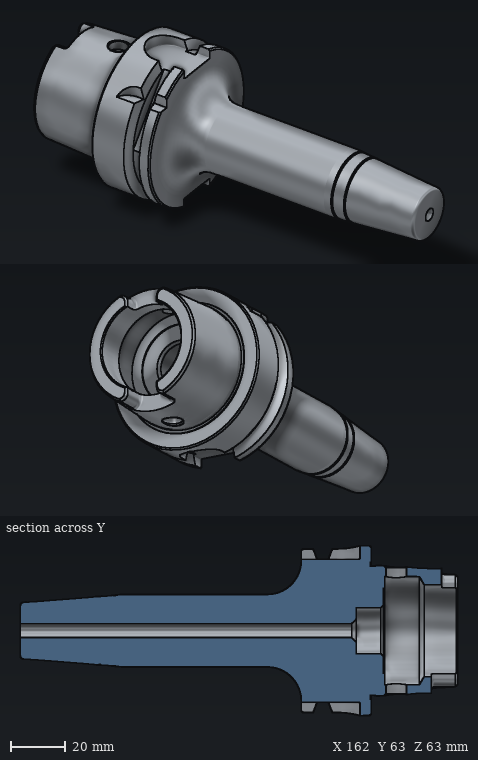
import cadquery as cq
import math

TAIL_X = -32.0
FLANGE_LENGTH = 26.0
NOSE_X = 130.0

TAPER_GAUGE_DIA = 48.04
TAPER_GAUGE_X = -6.3
TAPER_RADIUS_SLOPE = 1 / 20
TAIL_CHAMFER_LENGTH = 1.1
TAIL_CHAMFER_DEPTH = 0.6

RELIEF_START_X = -2.1
RELIEF_FLOOR_X = -1.1
RELIEF_RADIUS = 24.0
RELIEF_FACE_RADIUS = 25.3
RELIEF_FACE_DEPTH = 0.4

FLANGE_RADIUS = 31.5
FLANGE_CHAMFER = 0.6
GROOVE_CENTRE_X = 18.0
GROOVE_MOUTH_WIDTH = 7.0
GROOVE_FLOOR_WIDTH = 3.9
GROOVE_FLOOR_RADIUS = 27.5

SHANK_RADIUS = 13.5
NECK_FILLET = 12.5
NOSE_RADIUS = 10.5
NOSE_ANGLE = 4.5
NOSE_EDGE_FILLET = 1.3
NOSE_RING_XS = (95.2, 100.6)
NOSE_RING_WIDTH = 0.6
NOSE_RING_DEPTH = 0.2

BORE_RADIUS = 17.0
BORE_CHAMFER = 0.5
CLAMP_EDGE_X = -19.5
CLAMP_RADIUS = 20.0
CLAMP_ANGLE = 60.0
BORE_FLOOR_X = -5.0
FLOOR_RECESS_RADIUS = 15.7
FLOOR_RECESS_DEPTH = 0.5
POCKET_RADIUS = 16.92 / 2
POCKET_MOUTH_RADIUS = 19.02 / 2
POCKET_DEPTH = 10.0
COOLANT_RADIUS = 5.0 / 2
COOLANT_MOUTH_RADIUS = 8.68 / 2

CROSS_HOLE_X = -9.2
CROSS_HOLE_RADIUS = 7.5 / 2
CROSS_HOLE_MOUTH_RADIUS = 8.68 / 2

DRIVE_SLOT_WIDTH = 12.3
DRIVE_SLOT_LENGTHS = {1: 6.0, -1: 9.8}
DRIVE_SLOT_FLARE = 3.1
DRIVE_SLOT_SHOULDER_Z = 20.8
DRIVE_SLOT_END_FILLET = 1.3
DRIVE_SLOT_MOUTH_CHAMFER = 0.9

KEY_SLOT_RADIUS = 16.92 / 2
KEY_SLOT_START_X = 4.2
KEY_SLOT_FLOOR_Z = 26.5
KEY_SLOT_FLOOR_FILLET = 0.5

NOTCH_FLOOR_Z = 20.0
NOTCH_WALL_Y = -20.0
NOTCH_START_X = 5.8
NOTCH_END_RADIUS = 7.5

GROOVE_FLAT_TOP = (-7.1, 26.5)
GROOVE_FLAT_BOTTOM = (-27.45, 1.7)

CLEARANCE = 10.0


def taper_radius(x):
    return TAPER_GAUGE_DIA / 2 + (x - TAPER_GAUGE_X) * TAPER_RADIUS_SLOPE


def make_body():
    mouth = GROOVE_MOUTH_WIDTH / 2
    floor = GROOVE_FLOOR_WIDTH / 2
    cone_length = (SHANK_RADIUS - NOSE_RADIUS) / math.tan(math.radians(NOSE_ANGLE))
    neck_end_x = FLANGE_LENGTH + NECK_FILLET
    neck_mid_x = neck_end_x - NECK_FILLET * math.sqrt(0.5)
    neck_mid_radius = SHANK_RADIUS + NECK_FILLET * (1 - math.sqrt(0.5))
    chamfer_x = TAIL_X + TAIL_CHAMFER_LENGTH
    body = (
        cq.Workplane("XY")
        .moveTo(TAIL_X, 0)
        .lineTo(TAIL_X, taper_radius(TAIL_X) - TAIL_CHAMFER_DEPTH)
        .lineTo(chamfer_x, taper_radius(chamfer_x))
        .lineTo(RELIEF_START_X, taper_radius(RELIEF_START_X))
        .lineTo(RELIEF_FLOOR_X, RELIEF_RADIUS)
        .lineTo(RELIEF_FACE_DEPTH, RELIEF_RADIUS)
        .lineTo(RELIEF_FACE_DEPTH, RELIEF_FACE_RADIUS)
        .lineTo(0, RELIEF_FACE_RADIUS)
        .lineTo(0, FLANGE_RADIUS - FLANGE_CHAMFER)
        .lineTo(FLANGE_CHAMFER, FLANGE_RADIUS)
        .lineTo(GROOVE_CENTRE_X - mouth, FLANGE_RADIUS)
        .lineTo(GROOVE_CENTRE_X - floor, GROOVE_FLOOR_RADIUS)
        .lineTo(GROOVE_CENTRE_X + floor, GROOVE_FLOOR_RADIUS)
        .lineTo(GROOVE_CENTRE_X + mouth, FLANGE_RADIUS)
        .lineTo(FLANGE_LENGTH - FLANGE_CHAMFER, FLANGE_RADIUS)
        .lineTo(FLANGE_LENGTH, FLANGE_RADIUS - FLANGE_CHAMFER)
        .lineTo(FLANGE_LENGTH, SHANK_RADIUS + NECK_FILLET)
        .threePointArc((neck_mid_x, neck_mid_radius), (neck_end_x, SHANK_RADIUS))
        .lineTo(NOSE_X - cone_length, SHANK_RADIUS)
        .lineTo(NOSE_X, NOSE_RADIUS)
        .lineTo(NOSE_X, 0)
        .close()
        .revolve(360, (0, 0, 0), (1, 0, 0))
    )
    return body.faces(">X").edges().fillet(NOSE_EDGE_FILLET)


def make_nose_ring(x):
    """Narrow ring groove in the nose cone, centred at x."""
    cone_radius = NOSE_RADIUS + (NOSE_X - x) * math.tan(math.radians(NOSE_ANGLE))
    ring = cq.Workplane("YZ", origin=(x - NOSE_RING_WIDTH / 2, 0, 0))
    return (
        ring.circle(SHANK_RADIUS + CLEARANCE)
        .circle(cone_radius - NOSE_RING_DEPTH)
        .extrude(NOSE_RING_WIDTH)
    )


def make_bores():
    pocket_chamfer = POCKET_MOUTH_RADIUS - POCKET_RADIUS
    recess_x = BORE_FLOOR_X + FLOOR_RECESS_DEPTH
    pocket_floor_x = recess_x + POCKET_DEPTH
    clamp_cone_length = (CLAMP_RADIUS - BORE_RADIUS) / math.tan(math.radians(CLAMP_ANGLE))
    coolant_cone_length = COOLANT_MOUTH_RADIUS - COOLANT_RADIUS
    return (
        cq.Workplane("XY")
        .moveTo(TAIL_X, 0)
        .lineTo(TAIL_X, BORE_RADIUS + BORE_CHAMFER)
        .lineTo(TAIL_X + BORE_CHAMFER, BORE_RADIUS)
        .lineTo(CLAMP_EDGE_X, BORE_RADIUS)
        .lineTo(CLAMP_EDGE_X + clamp_cone_length, CLAMP_RADIUS)
        .lineTo(BORE_FLOOR_X, CLAMP_RADIUS)
        .lineTo(BORE_FLOOR_X, FLOOR_RECESS_RADIUS)
        .lineTo(recess_x, FLOOR_RECESS_RADIUS)
        .lineTo(recess_x, POCKET_MOUTH_RADIUS)
        .lineTo(recess_x + pocket_chamfer, POCKET_RADIUS)
        .lineTo(pocket_floor_x, POCKET_RADIUS)
        .lineTo(pocket_floor_x, COOLANT_MOUTH_RADIUS)
        .lineTo(pocket_floor_x + coolant_cone_length, COOLANT_RADIUS)
        .lineTo(NOSE_X, COOLANT_RADIUS)
        .lineTo(NOSE_X, 0)
        .close()
        .revolve(360, (0, 0, 0), (1, 0, 0))
    )


def make_cross_hole():
    """Hole along Z with a countersink on the taper at both ends."""
    height = taper_radius(CROSS_HOLE_X)
    depth = CROSS_HOLE_MOUTH_RADIUS - CROSS_HOLE_RADIUS
    half = (
        cq.Workplane("XZ", origin=(CROSS_HOLE_X, 0, 0))
        .lineTo(CROSS_HOLE_RADIUS, 0)
        .lineTo(CROSS_HOLE_RADIUS, height - depth)
        .lineTo(CROSS_HOLE_MOUTH_RADIUS, height)
        .lineTo(CROSS_HOLE_MOUTH_RADIUS, height + CLEARANCE)
        .lineTo(0, height + CLEARANCE)
        .close()
        .revolve(360, (0, 0, 0), (0, 1, 0))
    )
    return half.union(half.mirror("XY"))


def drive_slot_profile(x):
    """Slot section whose side walls flare outwards in arcs to flat shoulders."""
    half = DRIVE_SLOT_WIDTH / 2
    outer = half + DRIVE_SLOT_FLARE
    flare_z = DRIVE_SLOT_SHOULDER_Z - DRIVE_SLOT_FLARE
    top_z = FLANGE_RADIUS
    return (
        cq.Workplane("YZ", origin=(x, 0, 0))
        .moveTo(-half, 0)
        .lineTo(half, 0)
        .lineTo(half, flare_z)
        .radiusArc((outer, DRIVE_SLOT_SHOULDER_Z), DRIVE_SLOT_FLARE)
        .lineTo(outer, top_z)
        .lineTo(-outer, top_z)
        .lineTo(-outer, DRIVE_SLOT_SHOULDER_Z)
        .radiusArc((-half, flare_z), DRIVE_SLOT_FLARE)
        .close()
    )


def make_drive_slot(side):
    slot = drive_slot_profile(TAIL_X).extrude(DRIVE_SLOT_LENGTHS[side])
    slot = slot.faces(">X").edges().fillet(DRIVE_SLOT_END_FILLET)
    mouth = drive_slot_profile(TAIL_X + DRIVE_SLOT_MOUTH_CHAMFER)
    slot = slot.union(mouth.extrude(-DRIVE_SLOT_MOUTH_CHAMFER, taper=-45))
    return slot if side > 0 else slot.mirror("XY")


def make_key_slot(side):
    """Round-ended slot open at the rear of the flange."""
    centre_x = KEY_SLOT_START_X + KEY_SLOT_RADIUS
    rear_x = FLANGE_LENGTH + CLEARANCE
    slot = (
        cq.Workplane("XY", origin=(0, 0, KEY_SLOT_FLOOR_Z))
        .moveTo(rear_x, KEY_SLOT_RADIUS)
        .lineTo(centre_x, KEY_SLOT_RADIUS)
        .threePointArc((KEY_SLOT_START_X, 0), (centre_x, -KEY_SLOT_RADIUS))
        .lineTo(rear_x, -KEY_SLOT_RADIUS)
        .close()
        .extrude(CLEARANCE)
    )
    slot = slot.faces("<Z").edges("not >X").fillet(KEY_SLOT_FLOOR_FILLET)
    return slot if side > 0 else slot.mirror("XY")


def make_index_notch():
    """Corner notch with a level floor, an upright wall and a rounded front end."""
    centre_x = NOTCH_START_X + NOTCH_END_RADIUS
    outer_y = NOTCH_WALL_Y - NOTCH_END_RADIUS
    rear_x = FLANGE_LENGTH + CLEARANCE
    return (
        cq.Workplane("XY", origin=(0, 0, NOTCH_FLOOR_Z))
        .moveTo(rear_x, NOTCH_WALL_Y)
        .lineTo(centre_x, NOTCH_WALL_Y)
        .radiusArc((NOTCH_START_X, outer_y), -NOTCH_END_RADIUS)
        .lineTo(rear_x, outer_y)
        .close()
        .extrude(CLEARANCE)
    )


def make_groove_flat():
    """Segment cut as wide as the groove floor that leaves a plane flat."""
    top_y, top_z = GROOVE_FLAT_TOP
    bottom_y, bottom_z = GROOVE_FLAT_BOTTOM
    return (
        cq.Workplane("YZ", origin=(GROOVE_CENTRE_X - GROOVE_FLOOR_WIDTH / 2, 0, 0))
        .moveTo(top_y, top_z)
        .lineTo(bottom_y, bottom_z)
        .lineTo(bottom_y, top_z)
        .close()
        .extrude(GROOVE_FLOOR_WIDTH)
    )


result = make_body()
for ring_x in NOSE_RING_XS:
    result = result.cut(make_nose_ring(ring_x))
result = result.cut(make_bores())
result = result.cut(make_cross_hole())
for side in (1, -1):
    result = result.cut(make_drive_slot(side))
    result = result.cut(make_key_slot(side))
result = result.cut(make_index_notch())
result = result.cut(make_groove_flat())